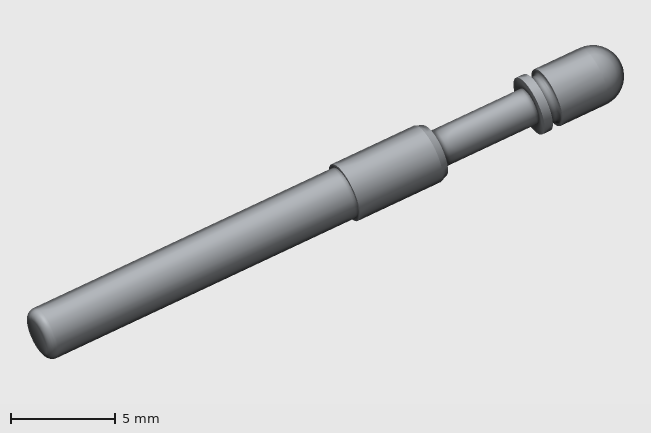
import cadquery as cq
import math

length = 32.3
head_diameter = 3.0
head_radius = head_diameter / 2
tail_y = -length / 2
tip_y = length / 2

dome_y = tip_y - head_radius
groove_front_y = tip_y - 4.05
groove_back_y = tip_y - 4.6
groove_radius = 1.23
groove_fillet = 0.13
head_back_y = tip_y - 5.05

shaft_radius = 0.95

collar_radius = head_radius
collar_front_y = tip_y - 10.3
collar_chamfer_length = 0.4
collar_chamfer_depth = 0.15
collar_back_y = tip_y - 15.28
barrel_radius = 1.32
tail_fillet = 0.42


def stepped_profile():
    """Half section of the pin: radius along X, pin axis along Y, from tail to tip."""
    arc_side = tail_fillet * math.sqrt(0.5)
    fillet_mid = (barrel_radius - tail_fillet + arc_side, tail_y + tail_fillet - arc_side)
    dome_side = head_radius * math.sqrt(0.5)
    return (
        cq.Workplane("XY")
        .moveTo(0, tail_y)
        .lineTo(barrel_radius - tail_fillet, tail_y)
        .threePointArc(fillet_mid, (barrel_radius, tail_y + tail_fillet))
        .lineTo(barrel_radius, collar_back_y)
        .lineTo(collar_radius, collar_back_y)
        .lineTo(collar_radius, collar_front_y - collar_chamfer_length)
        .lineTo(collar_radius - collar_chamfer_depth, collar_front_y)
        .lineTo(shaft_radius, collar_front_y)
        .lineTo(shaft_radius, head_back_y)
        .lineTo(head_radius, head_back_y)
        .lineTo(head_radius, groove_back_y)
        .lineTo(groove_radius + groove_fillet, groove_back_y)
        .radiusArc((groove_radius, groove_back_y + groove_fillet), groove_fillet)
        .lineTo(groove_radius, groove_front_y - groove_fillet)
        .radiusArc((groove_radius + groove_fillet, groove_front_y), groove_fillet)
        .lineTo(head_radius, groove_front_y)
        .lineTo(head_radius, dome_y)
        .threePointArc((dome_side, dome_y + dome_side), (0, tip_y))
        .close()
    )


result = stepped_profile().revolve(360, (0, 0, 0), (0, 1, 0))